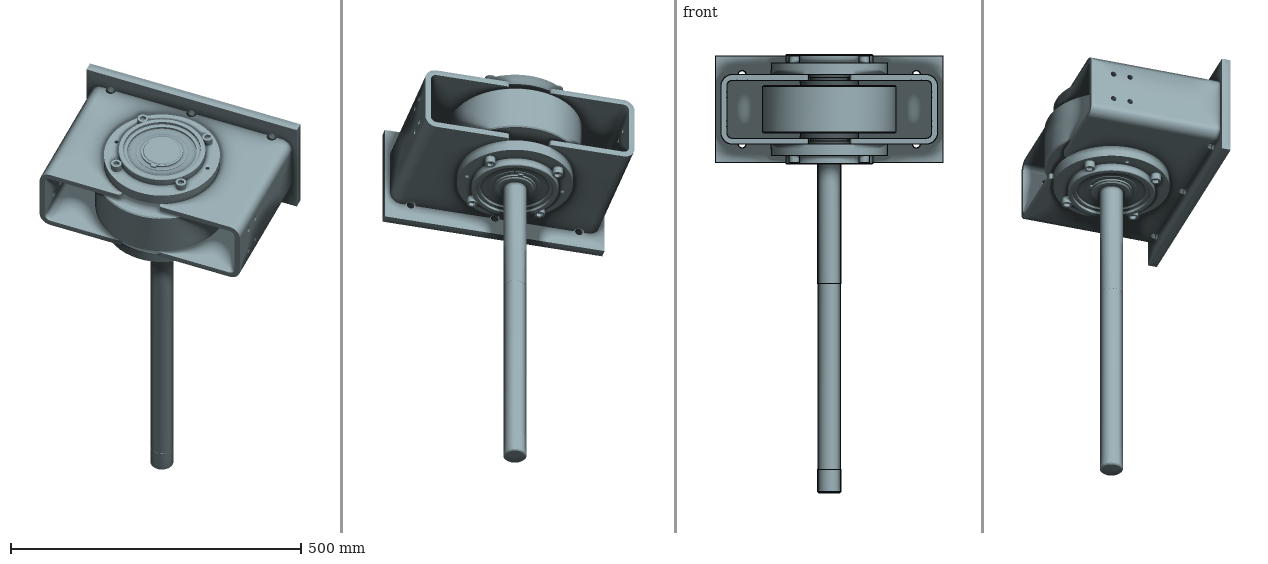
import cadquery as cq
import math


PLATE_WIDTH = 392.0
PLATE_HEIGHT = 184.0
PLATE_THICKNESS = 16.0
PLATE_BACK_Y = 150.0
PLATE_FRONT_Y = PLATE_BACK_Y - PLATE_THICKNESS
PLATE_HOLE_DIAMETER = 13.0
HOLE_COLUMN_X = (-150.0, 0.0, 150.0)

BOX_WIDTH = 373.0
BOX_HEIGHT = 120.0
BOX_WALL = 10.0
BOX_FRONT_Y = -100.0
BEND_RADIUS = 20.0
BOX_TOP_Z = BOX_HEIGHT / 2
BOX_LENGTH = PLATE_FRONT_Y - BOX_FRONT_Y
SLOT_WIDTH = 72.0
SLOT_CORNER_RADIUS = 5.0
NOTCH_DIAMETER = 18.0
NOTCH_DEPTH = 10.0
SIDE_HOLE_DIAMETER = 10.0
SIDE_HOLE_Y = (-60.0, -30.0)
SIDE_HOLE_Z = 25.0

ROLLER_DIAMETER = 230.0
ROLLER_WIDTH = 82.0
ROLLER_CHAMFER = 2.0
COLLAR_DIAMETER = 100.0
COLLAR_TOP_Z = 50.0

FLANGE_DIAMETER = 200.0
FLANGE_TOP_Z = 80.0
PILOT_DEPTH = 5.0
CAP_DIAMETER = 150.0
CAP_TOP_Z = 94.0
CAP_CHAMFER = 1.0
CAP_RECESS_DIAMETER = 134.0
CAP_RECESS_DEPTH = 5.0
CAP_BORE_DIAMETER = 120.0
CAP_BORE_DEPTH = 9.0
RING_DIAMETER = 88.0
RING_HEIGHT = 1.0
BOLT_CIRCLE_RADIUS = 85.0
BOLT_HEAD_DIAMETER = 18.0
BOLT_HEAD_HEIGHT = 12.0
BOLT_SOCKET_DIAMETER = 12.0
BOLT_SOCKET_DEPTH = 6.0
FLANGE_HOLE_DIAMETER = 7.0
FLANGE_HOLE_DEPTH = 12.0

JOURNAL_DIAMETER = 65.0
JOURNAL_TOP_Z = 91.0
JOURNAL_CHAMFER = 1.5
LOCKNUT_DIAMETER = 72.0
LOCKNUT_TOP_Z = 89.0
LOCK_TAB_WIDTH = 9.0
LOCK_TAB_REACH = 40.0
OVERALL_HEIGHT = 754.4
SHAFT_DIAMETER = 40.0
SHAFT_WAIST_DIAMETER = 39.5
SHAFT_BOTTOM_Z = CAP_TOP_Z - OVERALL_HEIGHT
WAIST_TOP_Z = -300.0
LOWER_END_LENGTH = 40.0
WAIST_BOTTOM_Z = SHAFT_BOTTOM_Z + LOWER_END_LENGTH
SHAFT_END_CHAMFER = 2.0


def disc(diameter, bottom_z, top_z):
    """Solid cylinder on the Z axis between two heights."""
    return cq.Workplane("XY").workplane(offset=bottom_z).circle(diameter / 2).extrude(top_z - bottom_z)


def make_plate():
    plate = cq.Workplane("XY").box(PLATE_WIDTH, PLATE_THICKNESS, PLATE_HEIGHT)
    plate = plate.translate((0, PLATE_BACK_Y - PLATE_THICKNESS / 2, 0))
    hole_places = [(x, z) for x in HOLE_COLUMN_X for z in (-BOX_TOP_Z, BOX_TOP_Z)]
    holes = (
        cq.Workplane("XZ", origin=(0, PLATE_BACK_Y, 0))
        .pushPoints(hole_places)
        .circle(PLATE_HOLE_DIAMETER / 2)
        .extrude(PLATE_THICKNESS)
    )
    return plate.cut(holes)


def make_sheet_slots():
    """Cutter for the shaft slots, with rounded corners at the open end."""
    half = SLOT_WIDTH / 2
    r = SLOT_CORNER_RADIUS
    return (
        cq.Workplane("XY", origin=(0, 0, -BOX_TOP_Z))
        .moveTo(-half, 0)
        .lineTo(-half, BOX_FRONT_Y + r)
        .radiusArc((-half - r, BOX_FRONT_Y), r)
        .lineTo(half + r, BOX_FRONT_Y)
        .radiusArc((half, BOX_FRONT_Y + r), r)
        .lineTo(half, 0)
        .threePointArc((0, half), (-half, 0))
        .close()
        .extrude(BOX_HEIGHT)
    )


def make_housing():
    outer = cq.Workplane("XY").box(BOX_WIDTH, BOX_LENGTH, BOX_HEIGHT).edges("|Y").fillet(BEND_RADIUS)
    inner = (
        cq.Workplane("XY")
        .box(BOX_WIDTH - 2 * BOX_WALL, BOX_LENGTH, BOX_HEIGHT - 2 * BOX_WALL)
        .edges("|Y")
        .fillet(BEND_RADIUS - BOX_WALL)
    )
    housing = outer.cut(inner).translate((0, (PLATE_FRONT_Y + BOX_FRONT_Y) / 2, 0))
    notch_y = PLATE_FRONT_Y - NOTCH_DEPTH + NOTCH_DIAMETER / 2
    notches = (
        cq.Workplane("XY", origin=(0, 0, -BOX_TOP_Z))
        .pushPoints([(x, notch_y) for x in HOLE_COLUMN_X])
        .circle(NOTCH_DIAMETER / 2)
        .extrude(BOX_HEIGHT)
    )
    side_holes = (
        cq.Workplane("YZ", origin=(-BOX_WIDTH / 2, 0, 0))
        .pushPoints([(y, z) for y in SIDE_HOLE_Y for z in (-SIDE_HOLE_Z, SIDE_HOLE_Z)])
        .circle(SIDE_HOLE_DIAMETER / 2)
        .extrude(BOX_WIDTH)
    )
    return housing.cut(make_sheet_slots()).cut(notches).cut(side_holes)


def make_roller():
    roller = disc(ROLLER_DIAMETER, -ROLLER_WIDTH / 2, ROLLER_WIDTH / 2).edges().chamfer(ROLLER_CHAMFER)
    return roller.union(disc(COLLAR_DIAMETER, -COLLAR_TOP_Z, COLLAR_TOP_Z))


def make_bolt_head():
    """Round head with a hexagon socket, standing on the XY plane."""
    socket = (
        cq.Workplane("XY", origin=(0, 0, BOLT_HEAD_HEIGHT - BOLT_SOCKET_DEPTH))
        .polygon(6, BOLT_SOCKET_DIAMETER)
        .extrude(BOLT_SOCKET_DEPTH)
    )
    return disc(BOLT_HEAD_DIAMETER, 0, BOLT_HEAD_HEIGHT).cut(socket)


def make_locknut(bottom_z):
    """Nut around the journal, with a locking tab on its -Y side."""
    height = LOCKNUT_TOP_Z - bottom_z
    tab = cq.Workplane("XY", origin=(0, -LOCK_TAB_REACH / 2, bottom_z))
    tab = tab.rect(LOCK_TAB_WIDTH, LOCK_TAB_REACH).extrude(height)
    return disc(LOCKNUT_DIAMETER, bottom_z, LOCKNUT_TOP_Z).union(tab)


def make_bearing_unit():
    """Flange, cap, bolt heads and shaft end on the upper side."""
    unit = disc(FLANGE_DIAMETER, BOX_TOP_Z, FLANGE_TOP_Z)
    unit = unit.union(disc(SLOT_WIDTH, BOX_TOP_Z - PILOT_DEPTH, BOX_TOP_Z))
    cap = disc(CAP_DIAMETER, FLANGE_TOP_Z, CAP_TOP_Z).faces(">Z").edges().chamfer(CAP_CHAMFER)
    cap = cap.cut(disc(CAP_RECESS_DIAMETER, CAP_TOP_Z - CAP_RECESS_DEPTH, CAP_TOP_Z))
    bore_floor_z = CAP_TOP_Z - CAP_BORE_DEPTH
    cap = cap.cut(disc(CAP_BORE_DIAMETER, bore_floor_z, CAP_TOP_Z))
    unit = unit.union(cap)
    unit = unit.union(disc(RING_DIAMETER, bore_floor_z, bore_floor_z + RING_HEIGHT))
    journal = disc(JOURNAL_DIAMETER, 0, JOURNAL_TOP_Z).faces(">Z").edges().chamfer(JOURNAL_CHAMFER)
    unit = unit.union(journal).union(make_locknut(bore_floor_z))
    flange_holes = (
        cq.Workplane("XY", origin=(0, 0, FLANGE_TOP_Z - FLANGE_HOLE_DEPTH))
        .pushPoints([(-BOLT_CIRCLE_RADIUS, 0), (BOLT_CIRCLE_RADIUS, 0)])
        .circle(FLANGE_HOLE_DIAMETER / 2)
        .extrude(FLANGE_HOLE_DEPTH)
    )
    unit = unit.cut(flange_holes)
    bolt_offset = BOLT_CIRCLE_RADIUS * math.sqrt(0.5)
    for x in (-bolt_offset, bolt_offset):
        for y in (-bolt_offset, bolt_offset):
            unit = unit.union(make_bolt_head().translate((x, y, FLANGE_TOP_Z)))
    return unit


def make_shaft():
    """Long shaft below the housing, slightly thinner along its waist."""
    lower_end = disc(SHAFT_DIAMETER, SHAFT_BOTTOM_Z, WAIST_BOTTOM_Z)
    lower_end = lower_end.faces("<Z").edges().chamfer(SHAFT_END_CHAMFER)
    waist = disc(SHAFT_WAIST_DIAMETER, WAIST_BOTTOM_Z, WAIST_TOP_Z)
    upper_end = disc(SHAFT_DIAMETER, WAIST_TOP_Z, 0)
    return upper_end.union(waist).union(lower_end)


upper_unit = make_bearing_unit()
lower_unit = upper_unit.mirror("XY")
result = make_plate().union(make_housing()).union(make_roller())
result = result.union(upper_unit).union(lower_unit).union(make_shaft())